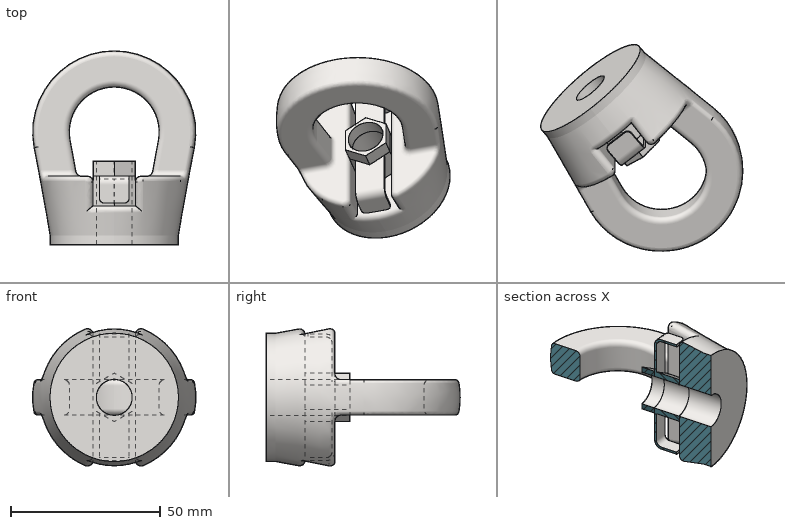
import cadquery as cq
import math

total_height = 65.0
total_width = 54.8
eye_outer_radius = total_width / 2
eye_center_y = total_height - eye_outer_radius
eye_inner_radius = 15.0
eye_inner_center_y = 37.8
eye_thickness = 11.95
eye_half = eye_thickness / 2

seat_radius = 21.5
seat_height = 3.1
shoulder_y = 23.0
bore_diameter = 12.0

hex_flats = 14.1
hex_corners = hex_flats * 2 / math.sqrt(3)
nut_height = 5.0
hex_seat_y = 13.0

tab_width = 10.0
tab_thickness = 1.0
tab_face_z = 21.2
tab_bottom_y = 14.0
tab_bend_radius = 2.9
tab_corner_radius = 1.7

rim_fillet = 1.5
inner_fillet = 2.0
mouth_fillet = 1.9

touch_tolerance = 0.005

flank_rise = eye_center_y - seat_height
flank_distance = math.hypot(seat_radius, flank_rise)
flank_angle = math.asin(eye_outer_radius / flank_distance) - math.atan2(seat_radius, flank_rise)


def tangent_point(radius, center_y):
    """Point on a circle about the Z axis, centered at a height, where the sloping flank leaves it."""
    return radius * math.cos(flank_angle), center_y - radius * math.sin(flank_angle)


def box_between(x_half, y_low, y_high, z_half):
    """Box centered on X = 0 and Z = 0 between two heights."""
    return cq.Workplane("XY").box(2 * x_half, y_high - y_low, 2 * z_half).translate(
        (0, (y_low + y_high) / 2, 0)
    )


def revolved_envelope():
    """Cylindrical seat, flaring cone and spherical crown in one turned shape."""
    return (
        cq.Workplane("XY")
        .lineTo(seat_radius, 0)
        .lineTo(seat_radius, seat_height)
        .lineTo(*tangent_point(eye_outer_radius, eye_center_y))
        .threePointArc(
            (eye_outer_radius * math.sqrt(0.5), eye_center_y + eye_outer_radius * math.sqrt(0.5)),
            (0, total_height),
        )
        .close()
        .revolve(360, (0, 0, 0), (0, 1, 0))
    )


def eye_opening():
    """Round eye with straight converging sides down to the housing shoulder."""
    side_x, side_y = tangent_point(eye_inner_radius, eye_inner_center_y)
    foot_x = side_x - (side_y - shoulder_y) * math.tan(flank_angle)
    return (
        cq.Workplane("XY")
        .moveTo(-foot_x, shoulder_y)
        .lineTo(-side_x, side_y)
        .threePointArc((0, eye_inner_center_y + eye_inner_radius), (side_x, side_y))
        .lineTo(foot_x, shoulder_y)
        .close()
        .extrude(eye_thickness, both=True)
    )


def edges_through(body, points):
    """Edges of the body that pass through any of the given points."""
    vertices = [cq.Vertex.makeVertex(*point) for point in points]
    found = [
        edge
        for edge in body.edges().vals()
        if any(edge.distance(vertex) < touch_tolerance for vertex in vertices)
    ]
    return body.newObject(found)


def on_both_faces(x, y, z):
    """A point and its mirror image across the XY plane."""
    return [(x, y, z), (x, y, -z)]


def round_eye(body):
    """Round the opening, the feet of the eye and the outer rim; each chain follows its tangents."""
    opening_points = on_both_faces(0, eye_inner_center_y + eye_inner_radius, eye_half)
    body = edges_through(body, opening_points).fillet(inner_fillet)

    foot_x = (tangent_point(eye_inner_radius, eye_inner_center_y)[0] + seat_radius) / 2
    foot_points = on_both_faces(foot_x, shoulder_y, eye_half) + on_both_faces(-foot_x, shoulder_y, eye_half)
    body = edges_through(body, foot_points).fillet(inner_fillet)

    crown_y = eye_center_y + math.sqrt(eye_outer_radius**2 - eye_half**2)
    return edges_through(body, on_both_faces(0, crown_y, eye_half)).fillet(rim_fillet)


def cone_radius(y):
    """Radius of the sloping flank at a height."""
    return seat_radius + (y - seat_height) * math.tan(flank_angle)


def cut_sleeve_slot(body):
    """Cut the right half of the slot for the locking sleeve and round its mouths on the cone."""
    slot_half = hex_flats / 2
    body = body.cut(box_between(slot_half, hex_seat_y, shoulder_y, total_height))

    floor_x = slot_half / 2
    floor_z = math.sqrt(cone_radius(hex_seat_y) ** 2 - floor_x**2)
    side_y = (hex_seat_y + shoulder_y) / 2
    side_z = math.sqrt(cone_radius(side_y) ** 2 - slot_half**2)
    mouth_points = on_both_faces(floor_x, hex_seat_y, floor_z) + on_both_faces(slot_half, side_y, side_z)
    return edges_through(body, mouth_points).fillet(mouth_fillet)


def bore(y_low, y_high):
    """Through bore on the main axis between two heights."""
    plane = cq.Workplane("XZ", origin=(0, y_low, 0))
    return plane.circle(bore_diameter / 2).extrude(y_low - y_high)


def hexagon_prism(y_low, y_high):
    """Hexagonal prism along Y with its corners on the Z axis."""
    prism = cq.Workplane("XZ").polygon(6, hex_corners).extrude(y_low - y_high)
    return prism.rotate((0, 0, 0), (0, 1, 0), 30).translate((0, y_low, 0))


def right_half_space():
    """Block covering everything on the +X side of the middle plane."""
    return box_between(total_height, 0, total_height, total_height).translate((total_height, 0, 0))


def make_housing():
    """Eye nut housing: a turned envelope flattened to a slab above the shoulder."""
    lower = box_between(total_height, 0, shoulder_y, total_height)
    eye = box_between(total_height, 0, total_height, eye_half)
    body = revolved_envelope().intersect(lower.union(eye)).cut(eye_opening())
    body = round_eye(body)
    right_half = cut_sleeve_slot(body.intersect(right_half_space()))
    body = right_half.union(right_half.mirror("YZ"))
    return body.cut(bore(0, hex_seat_y))


def make_locking_sleeve():
    """Hexagonal sleeve in the slot with two bent tabs at its upper end."""
    tab_half = tab_width / 2
    inner_z = tab_face_z - tab_thickness
    outer = box_between(tab_half, tab_bottom_y, shoulder_y, tab_face_z)
    outer = outer.edges("|X and >Y").fillet(tab_bend_radius)
    inner = box_between(tab_half, tab_bottom_y, shoulder_y - tab_thickness, inner_z)
    inner = inner.edges("|X and >Y").fillet(tab_bend_radius - tab_thickness)
    strip = outer.cut(inner).edges("|Z and <Y").fillet(tab_corner_radius)
    sleeve = hexagon_prism(hex_seat_y, shoulder_y).union(strip)
    return sleeve.cut(bore(hex_seat_y, shoulder_y))


def make_nut():
    """Hexagonal collar standing on the locking sleeve inside the eye."""
    nut_top_y = shoulder_y + nut_height
    return hexagon_prism(shoulder_y, nut_top_y).cut(bore(shoulder_y, nut_top_y))


housing = make_housing()
locking_sleeve = make_locking_sleeve()
nut = make_nut()
result = cq.Compound.makeCompound([housing.val(), locking_sleeve.val(), nut.val()])